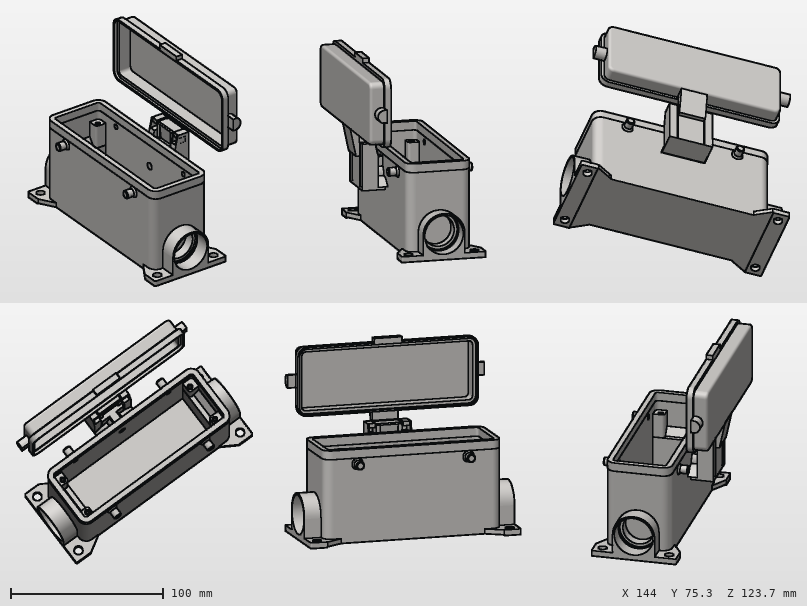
import cadquery as cq

half_length = 72.0
box_half_x = 60.8
box_half_y = 21.9
box_corner = 6.0
box_bottom = 0.6
box_top = 63.0
wall = 3.9
floor_thickness = 3.9
lip_bottom = 57.2
lip_step = 0.09
lip_inner_corner = 1.7
cavity_corner = 2.6

foot_half_y = 28.5
foot_top = 3.9
foot_slant_x = 60.3
foot_tip_x = 49.2
foot_corner = 1.0
foot_hole_radius = 2.9
foot_hole_x = 66.0
foot_hole_y = 22.5

entry_z = 16.8
entry_radius = 14.3
bore_radius = 13.1
bore_end_x = 61.0
bore_step_radius = 12.5
bore_step_x = 59.3
knockout_radius = 10.5
knockout_depth_x = 51.8
entry_block_x = 49.2
entry_block_top = 34.3
entry_slope_x = 52.7
entry_slope_top = 39.6

post_size = 7.5
post_top = 50.7
post_round = 1.7
post_hole_radius = 1.0
post_countersink = 0.7
post_hole_depth = 13.0
post_hole_x = 52.0
post_hole_y = 13.5

pin_x = 38.0
pin_z = 53.3
pin_radius = 2.7
pin_end_chamfer = 0.6
pin_tip_y = foot_half_y
collar_radius = 3.7
collar_length = 1.5
mark_depth = 0.1
pin_mark_radius = 1.7
rivet_mark_radius = 2.5
rivet_mark_z = 41.5

lid_mid_z = 97.6
lid_front = 33.0
flange_back = 37.5
lid_back = 46.8
flange_half_x = 61.8
flange_half_z = 23.0
flange_corner = 6.0
tray_half_x = 59.6
tray_half_z = 21.0
tray_corner = 3.9
tray_edge_round = 1.9
seat_inset = 1.2
seat_depth = 2.2
recess_inset = 3.3
recess_corner = 2.7
recess_floor = 44.4
tab_half_x = 9.5
tab_top = 123.7
ear_tip_x = 67.2
ear_radius = 4.3
ear_axis_y = 39.2

arm_half_x = 9.0
arm_bottom = 58.0
arm_tip_back = 41.8
arm_front = 39.5
bracket_half_x = 14.8
bracket_back = 39.2
bracket_front = 28.2
bracket_top = 67.4
bracket_top_front = 30.2
bracket_slope_z = 58.0
bracket_bottom = 36.0
ledge_top = 37.7
ledge_front = 23.8
bracket_side_wall = 0.9
bracket_pocket_back = 36.7
bracket_pocket_bottom = 60.5
bracket_pocket_top = 64.5
bracket_rebate_back = 30.7
core_half_x = 8.8
core_top = 66.8
core_front = 30.5
core_top_front = 31.5
core_panel_foot = 31.7
core_panel_half_x = 6.0
core_shoulder = 66.0
slot_width = 0.7
web_top = 55.5
web_top_half_x = 2.7
web_neck_z = 49.0
web_knee_x = 5.0
web_knee_z = 43.0
web_toe_x = 11.1
web_toe_z = 40.9
web_outer_sag = 0.6
web_inner_sag = 0.7


def block(x0, x1, y0, y1, z0, z1):
    return cq.Workplane(obj=cq.Solid.makeBox(x1 - x0, y1 - y0, z1 - z0, cq.Vector(x0, y0, z0)))


def cylinder(radius, start, direction, length):
    return cq.Workplane(obj=cq.Solid.makeCylinder(radius, length, cq.Vector(*start), cq.Vector(*direction)))


def upright_box(half_x, half_y, corner, z0, z1):
    """Box centred on the Z axis with rounded vertical edges."""
    return block(-half_x, half_x, -half_y, half_y, z0, z1).edges("|Z").fillet(corner)


def lid_slab(half_x, half_z, corner, y0, y1):
    """Box centred on the lid with its edges along Y rounded."""
    return block(-half_x, half_x, y0, y1, lid_mid_z - half_z, lid_mid_z + half_z).edges("|Y").fillet(corner)


def side_profile(points, half_x):
    """Outline of (Y, Z) points extruded evenly to both sides of X = 0."""
    return cq.Workplane("YZ").polyline(points).close().extrude(half_x, both=True)


def in_four_corners(shape):
    """The shape and its mirror images across both vertical middle planes."""
    pair = shape.union(shape.mirror("YZ"))
    return pair.union(pair.mirror("XZ"))


cavity_half_x = box_half_x - wall
cavity_half_y = box_half_y - wall
cavity_bottom = box_bottom + floor_thickness
embed = wall / 2


def make_foot():
    """Foot plate of the +X end: the part beyond the box reaches down to Z = 0."""
    plate = (
        cq.Workplane("XY")
        .polyline([
            (half_length, -foot_half_y),
            (half_length, foot_half_y),
            (foot_slant_x, foot_half_y),
            (foot_tip_x, box_half_y),
            (foot_tip_x, -box_half_y),
            (foot_slant_x, -foot_half_y),
        ])
        .close()
        .extrude(foot_top)
        .edges("|Z and >X").fillet(foot_corner)
    )
    relief = block(0, box_half_x, -foot_half_y, foot_half_y, 0, box_bottom)
    return plate.cut(relief)


def make_entry():
    """Cable-entry boss of the +X end, arched at the top."""
    start = cavity_half_x
    arch = cylinder(entry_radius, (start, 0, entry_z), (1, 0, 0), half_length - start)
    base = block(start, half_length, -entry_radius, entry_radius, box_bottom, entry_z)
    upper_half = block(start, half_length, -entry_radius, entry_radius, entry_z, box_top)
    return base.union(arch.intersect(upper_half))


def make_entry_block():
    """Thickened inside of the +X end around the knockout, sloped along its top."""
    return (
        cq.Workplane("XZ")
        .moveTo(entry_block_x, box_bottom)
        .lineTo(entry_block_x, entry_block_top)
        .lineTo(entry_slope_x, entry_block_top)
        .lineTo(cavity_half_x, entry_slope_top)
        .lineTo(cavity_half_x + embed, entry_slope_top)
        .lineTo(cavity_half_x + embed, box_bottom)
        .close()
        .extrude(cavity_half_y + embed, both=True)
    )


def make_bore():
    """Cable bore of the +X end in two stages with a blind knockout."""
    return (
        cq.Workplane("XZ", origin=(0, 0, entry_z))
        .polyline([
            (knockout_depth_x, 0),
            (knockout_depth_x, knockout_radius),
            (bore_step_x, knockout_radius),
            (bore_step_x, bore_step_radius),
            (bore_end_x, bore_step_radius),
            (bore_end_x, bore_radius),
            (half_length, bore_radius),
            (half_length, 0),
        ])
        .close()
        .revolve(360, (0, 0, 0), (1, 0, 0))
    )


def make_post():
    """Screw post in the +X, +Y corner, reaching into both walls."""
    post = block(
        cavity_half_x - post_size, cavity_half_x + embed,
        cavity_half_y - post_size, cavity_half_y + embed,
        box_bottom, post_top,
    ).edges("|Z and <X and <Y").fillet(post_round)
    hole = cylinder(post_hole_radius, (post_hole_x, post_hole_y, post_top), (0, 0, -1), post_hole_depth)
    countersink = cq.Workplane(obj=cq.Solid.makeCone(
        post_hole_radius + post_countersink, post_hole_radius, post_countersink,
        cq.Vector(post_hole_x, post_hole_y, post_top), cq.Vector(0, 0, -1),
    ))
    return post.cut(hole).cut(countersink)


def make_pin():
    """Locking pin with a tapered collar on the +Y wall at +X."""
    start = box_half_y - embed
    pin = cylinder(pin_radius, (pin_x, start, pin_z), (0, 1, 0), pin_tip_y - start)
    pin = pin.faces(">Y").edges().chamfer(pin_end_chamfer)
    collar = cq.Workplane(obj=cq.Solid.makeCone(
        collar_radius, pin_radius, collar_length,
        cq.Vector(pin_x, box_half_y - lip_step, pin_z), cq.Vector(0, 1, 0),
    ))
    return pin.union(collar)


def make_housing():
    walls = upright_box(box_half_x - lip_step, box_half_y - lip_step, box_corner, box_bottom, lip_bottom)
    lip = upright_box(box_half_x, box_half_y, box_corner, lip_bottom, box_top)
    lower_cavity = upright_box(
        cavity_half_x + lip_step, cavity_half_y + lip_step, cavity_corner, cavity_bottom, lip_bottom)
    lip_opening = upright_box(cavity_half_x, cavity_half_y, lip_inner_corner, lip_bottom, box_top)
    outside = walls.union(lip)
    ends = make_foot().union(make_entry())
    shell = outside.union(ends).union(ends.mirror("YZ")).cut(lower_cavity).cut(lip_opening)

    entry_block = make_entry_block()
    shell = shell.union(entry_block).union(entry_block.mirror("YZ"))
    shell = shell.union(in_four_corners(make_post())).union(in_four_corners(make_pin()))

    bore = make_bore()
    foot_hole = cylinder(foot_hole_radius, (foot_hole_x, foot_hole_y, 0), (0, 0, 1), foot_top)
    shell = shell.cut(bore).cut(bore.mirror("YZ")).cut(in_four_corners(foot_hole))

    mark_length = lip_step + mark_depth
    pin_mark = cylinder(pin_mark_radius, (pin_x, cavity_half_y, pin_z), (0, 1, 0), mark_length)
    rivet_mark = cylinder(rivet_mark_radius, (0, cavity_half_y, rivet_mark_z), (0, 1, 0), mark_length)
    return shell.cut(in_four_corners(pin_mark)).cut(rivet_mark)


def make_ear():
    """Half-round stub on the +X end of the lid, flat towards the flange."""
    round_part = cylinder(ear_radius, (0, ear_axis_y, lid_mid_z), (1, 0, 0), ear_tip_x)
    square_part = block(0, ear_tip_x, flange_back, ear_axis_y, lid_mid_z - ear_radius, lid_mid_z + ear_radius)
    behind_flange = block(0, ear_tip_x, flange_back, lid_back, lid_mid_z - ear_radius, lid_mid_z + ear_radius)
    return round_part.intersect(behind_flange).union(square_part)


def make_arm():
    """Tapered hinge arm hanging from the back of the lid."""
    tray_bottom = lid_mid_z - tray_half_z
    flange_bottom = lid_mid_z - flange_half_z
    return side_profile([
        (lid_back - tray_edge_round / 2, tray_bottom + tray_edge_round / 2),
        (arm_tip_back, arm_bottom),
        (bracket_back, arm_bottom),
        (bracket_back, bracket_top),
        (arm_front, bracket_top),
        (arm_front, flange_bottom),
        (flange_back, flange_bottom),
        (flange_back, tray_bottom + tray_edge_round / 2),
    ], arm_half_x)


def make_lid():
    flange = lid_slab(flange_half_x, flange_half_z, flange_corner, lid_front, flange_back)
    tray = lid_slab(tray_half_x, tray_half_z, tray_corner, flange_back, lid_back)
    tray = tray.faces(">Y").edges().fillet(tray_edge_round)
    tab = block(-tab_half_x, tab_half_x, lid_front, flange_back, lid_mid_z, tab_top)
    ear = make_ear()
    lid = flange.union(tray).union(tab).union(ear).union(ear.mirror("YZ")).union(make_arm())
    seat = lid_slab(
        flange_half_x - seat_inset, flange_half_z - seat_inset, flange_corner - seat_inset,
        lid_front, lid_front + seat_depth)
    recess = lid_slab(
        flange_half_x - recess_inset, flange_half_z - recess_inset, recess_corner, lid_front, recess_floor)
    return lid.cut(seat).cut(recess)


def make_web():
    """Bell-shaped web joining the bracket to the +Y wall of the box."""
    reach = core_front - box_half_y + embed
    return (
        cq.Workplane("XZ", origin=(0, core_front, 0))
        .moveTo(-bracket_half_x, ledge_top)
        .lineTo(-web_toe_x, web_toe_z)
        .sagittaArc((-web_knee_x, web_knee_z), web_outer_sag)
        .sagittaArc((-web_top_half_x, web_neck_z), web_inner_sag)
        .lineTo(-web_top_half_x, web_top)
        .lineTo(web_top_half_x, web_top)
        .lineTo(web_top_half_x, web_neck_z)
        .sagittaArc((web_knee_x, web_knee_z), web_inner_sag)
        .sagittaArc((web_toe_x, web_toe_z), web_outer_sag)
        .lineTo(bracket_half_x, ledge_top)
        .close()
        .extrude(reach)
    )


def make_core():
    """Middle block of the bracket: a panel leaning back between two corner pillars, above a ledge."""
    core = side_profile([
        (bracket_back, bracket_bottom),
        (bracket_back, core_top),
        (core_top_front, core_top),
        (core_front, core_shoulder),
        (core_front, web_top),
        (bracket_front, web_top),
        (bracket_front, bracket_bottom),
    ], core_half_x)
    panel_relief = side_profile([
        (core_front, core_shoulder),
        (core_panel_foot, web_top),
        (core_front, web_top),
    ], core_panel_half_x)
    return core.cut(panel_relief)


def make_bracket():
    body = side_profile([
        (bracket_back, bracket_bottom),
        (bracket_back, bracket_top),
        (bracket_top_front, bracket_top),
        (bracket_front, bracket_slope_z),
        (bracket_front, ledge_top),
        (ledge_front, ledge_top),
        (ledge_front, bracket_bottom),
    ], bracket_half_x)
    pocket_half_x = bracket_half_x - bracket_side_wall
    pocket = block(
        -pocket_half_x, pocket_half_x, bracket_front, bracket_pocket_back,
        bracket_pocket_bottom, bracket_pocket_top)
    rebate = block(
        -pocket_half_x, pocket_half_x, bracket_front, bracket_rebate_back, bracket_pocket_bottom, bracket_top)
    opening_half_x = core_half_x + slot_width
    opening = block(
        -opening_half_x, opening_half_x, bracket_front, bracket_back, ledge_top, bracket_top)
    return body.cut(pocket).cut(rebate).cut(opening).union(make_core()).union(make_web())


result = make_housing().union(make_bracket()).union(make_lid())